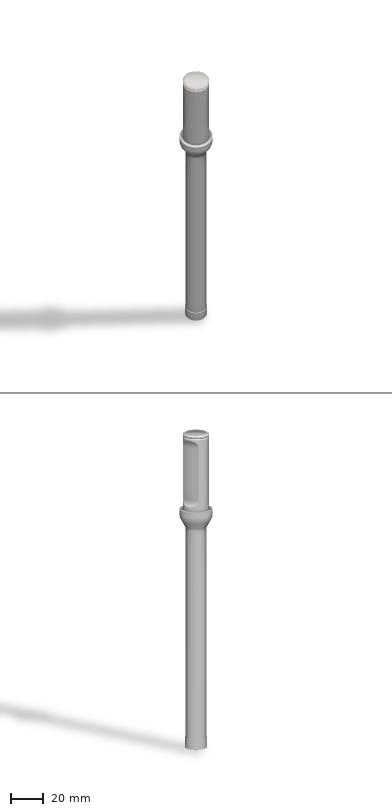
import cadquery as cq
import math

LENGTH = 201.0

TIP_DIAMETER = 13.5
TIP_TOP_Z = 8.5
TIP_CONE_HEIGHT = 2.2
POINT_DIAMETER = 2.8
POINT_HEIGHT = 0.8

STEM_DIAMETER = 12.7
COLLAR_DIAMETER = 20.0
COLLAR_TOP_Z = 153.0
COLLAR_HEIGHT = 3.8
FLARE_HALF_ANGLE = math.radians(30)
SHOULDER_RADIUS = 5.2
NECK_RADIUS = 3.6

SHANK_DIAMETER = 16.0
CHAMFER_WIDTH = 1.0
CHAMFER_HEIGHT = 0.8
GROOVE_TOP_Z = 199.5
GROOVE_WIDTH = 1.2
GROOVE_DEPTH = 0.6

FLAT_Y = 5.6
FLAT_BOTTOM_Z = 155.0
FLAT_TOP_Z = 198.4
FLAT_CORNER_RADIUS = 5.0


def make_tip():
    """Revolve the round drill tip with its small centring point."""
    radius = TIP_DIAMETER / 2
    return (
        cq.Workplane("XZ")
        .moveTo(0, 0)
        .lineTo(POINT_DIAMETER / 2, POINT_HEIGHT)
        .lineTo(radius, TIP_CONE_HEIGHT)
        .lineTo(radius, TIP_TOP_Z)
        .lineTo(0, TIP_TOP_Z)
        .close()
        .revolve(360, (0, 0, 0), (0, 1, 0))
    )


def make_turned_holder():
    """Revolve the stem, flared collar and grooved shank."""
    stem_radius = STEM_DIAMETER / 2
    collar_radius = COLLAR_DIAMETER / 2
    shank_radius = SHANK_DIAMETER / 2
    groove_radius = shank_radius - GROOVE_DEPTH
    groove_bottom_z = GROOVE_TOP_Z - GROOVE_WIDTH
    flare_top_z = COLLAR_TOP_Z - COLLAR_HEIGHT

    turn = 1 - math.cos(FLARE_HALF_ANGLE)
    half_turn = 1 - math.cos(FLARE_HALF_ANGLE / 2)
    cone_top_radius = collar_radius - SHOULDER_RADIUS * turn
    cone_top_z = flare_top_z - SHOULDER_RADIUS * math.sin(FLARE_HALF_ANGLE)
    cone_bottom_radius = stem_radius + NECK_RADIUS * turn
    cone_bottom_z = cone_top_z - (cone_top_radius - cone_bottom_radius) / math.tan(FLARE_HALF_ANGLE)
    neck_z = cone_bottom_z - NECK_RADIUS * math.sin(FLARE_HALF_ANGLE)
    neck_middle = (
        stem_radius + NECK_RADIUS * half_turn,
        neck_z + NECK_RADIUS * math.sin(FLARE_HALF_ANGLE / 2),
    )
    shoulder_middle = (
        collar_radius - SHOULDER_RADIUS * half_turn,
        flare_top_z - SHOULDER_RADIUS * math.sin(FLARE_HALF_ANGLE / 2),
    )

    return (
        cq.Workplane("XZ")
        .moveTo(0, TIP_TOP_Z)
        .lineTo(stem_radius, TIP_TOP_Z)
        .lineTo(stem_radius, neck_z)
        .threePointArc(neck_middle, (cone_bottom_radius, cone_bottom_z))
        .lineTo(cone_top_radius, cone_top_z)
        .threePointArc(shoulder_middle, (collar_radius, flare_top_z))
        .lineTo(collar_radius, COLLAR_TOP_Z)
        .lineTo(shank_radius, COLLAR_TOP_Z)
        .lineTo(shank_radius, groove_bottom_z)
        .lineTo(groove_radius, GROOVE_TOP_Z - GROOVE_WIDTH / 2)
        .lineTo(shank_radius, GROOVE_TOP_Z)
        .lineTo(shank_radius, LENGTH - CHAMFER_HEIGHT)
        .lineTo(shank_radius - CHAMFER_WIDTH, LENGTH)
        .lineTo(0, LENGTH)
        .close()
        .revolve(360, (0, 0, 0), (0, 1, 0))
    )


def make_flat_cutter():
    """Block that cuts the clamping flat, with rounded inner corners."""
    flat_length = FLAT_TOP_Z - FLAT_BOTTOM_Z
    return (
        cq.Workplane("XY")
        .box(SHANK_DIAMETER, SHANK_DIAMETER, flat_length, centered=(True, False, False))
        .translate((0, FLAT_Y, FLAT_BOTTOM_Z))
        .edges("|X and <Y")
        .fillet(FLAT_CORNER_RADIUS)
    )


tip = make_tip()
holder = make_turned_holder().cut(make_flat_cutter())

result = cq.Compound.makeCompound([tip.val(), holder.val()])